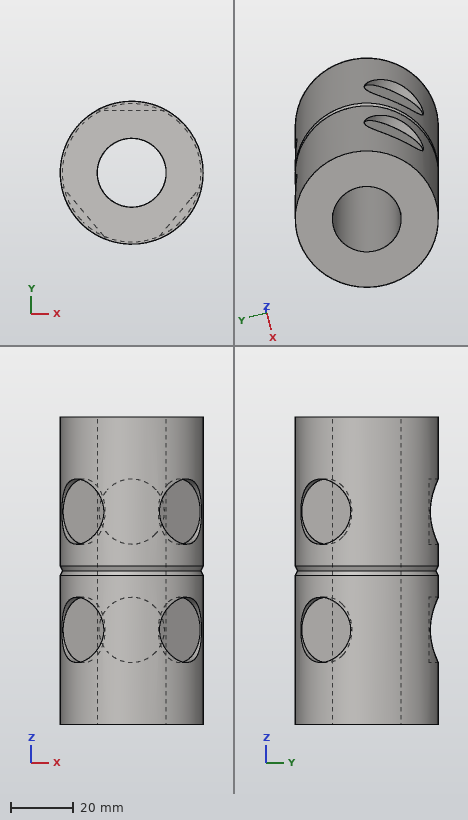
import cadquery as cq

LENGTH = 99.0
OUTER_DIAMETER = 46.0
BORE_DIAMETER = 22.1
OUTER_RADIUS = OUTER_DIAMETER / 2

GROOVE_WIDTH = 3.0
GROOVE_DEPTH = 0.74

POCKET_DIAMETER = 21.0
POCKET_DEPTH = 3.1
POCKET_RING_SPACING = 38.0
POCKET_ANGLES = (90, 220, 320)


def make_sleeve():
    """Plain tube centred on the origin, along Z."""
    return (
        cq.Workplane("XY")
        .circle(OUTER_RADIUS)
        .circle(BORE_DIAMETER / 2)
        .extrude(LENGTH / 2, both=True)
    )


def make_groove():
    """Ring with a triangular section whose point faces the axis."""
    return (
        cq.Workplane("XZ")
        .moveTo(OUTER_RADIUS, GROOVE_WIDTH / 2)
        .lineTo(OUTER_RADIUS - GROOVE_DEPTH, 0)
        .lineTo(OUTER_RADIUS, -GROOVE_WIDTH / 2)
        .close()
        .revolve(360, (0, 0, 0), (0, 1, 0))
    )


def make_pocket(angle, height):
    """Radial cutter whose flat end is the pocket floor."""
    return (
        cq.Workplane("YZ", origin=(OUTER_RADIUS - POCKET_DEPTH, 0, height))
        .circle(POCKET_DIAMETER / 2)
        .extrude(2 * POCKET_DEPTH)
        .rotate((0, 0, 0), (0, 0, 1), angle)
    )


result = make_sleeve().cut(make_groove())
for ring_height in (-POCKET_RING_SPACING / 2, POCKET_RING_SPACING / 2):
    for pocket_angle in POCKET_ANGLES:
        result = result.cut(make_pocket(pocket_angle, ring_height))